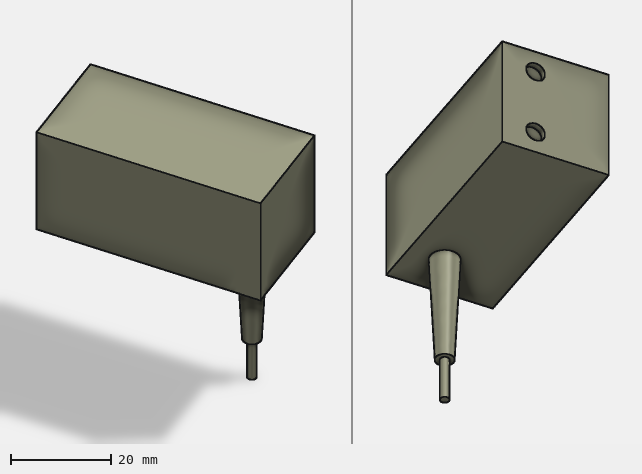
import cadquery as cq

housing_length = 50.0
housing_width = 24.0
housing_height = 25.0

hole_diameter = 4.2
hole_depth = 1.5
hole_from_back = 7.5
hole_spacing = 15.0

overall_height = 60.0
cable_x = 40.0
cable_from_back = 8.0
relief_length = housing_height
relief_top_diameter = 6.4
relief_bottom_diameter = 4.0
cable_diameter = 2.0
cable_length = overall_height - housing_height - relief_length


def make_housing():
    """Rectangular block with two blind holes in its -X face."""
    block = cq.Workplane("XY").box(housing_length, housing_width, housing_height, centered=False)
    hole_y = housing_width - hole_from_back
    middle_z = housing_height / 2
    hole_centers = [(hole_y, middle_z + side * hole_spacing / 2) for side in (-1, 1)]
    holes = cq.Workplane("YZ").pushPoints(hole_centers).circle(hole_diameter / 2).extrude(hole_depth)
    return block.cut(holes)


def make_cable():
    """Tapered strain relief and the thinner cable below it, turned about one vertical axis."""
    relief_bottom_z = -relief_length
    cable_end_z = relief_bottom_z - cable_length
    half_profile = [
        (0, 0),
        (relief_top_diameter / 2, 0),
        (relief_bottom_diameter / 2, relief_bottom_z),
        (cable_diameter / 2, relief_bottom_z),
        (cable_diameter / 2, cable_end_z),
        (0, cable_end_z),
    ]
    turned = cq.Workplane("XZ").polyline(half_profile).close().revolve(360, (0, 0), (0, 1))
    return turned.translate((cable_x, housing_width - cable_from_back, 0))


housing = make_housing()
cable = make_cable()

result = cq.Compound.makeCompound([housing.val(), cable.val()])